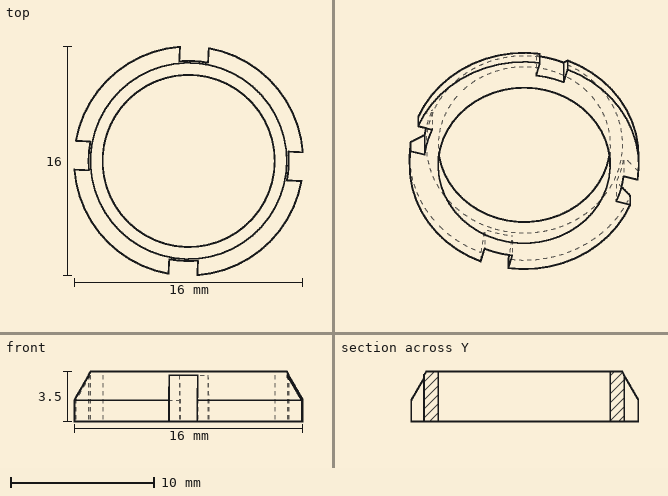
import cadquery as cq
import math

outer_diameter = 16.0
bore_diameter = 12.0
height = 3.5
rim_height = 1.5
cone_angle = 30

slot_count = 4
slot_width = 2.0
slot_floor_diameter = 14.0
slot_rotation = -2.9

outer_radius = outer_diameter / 2
bore_radius = bore_diameter / 2
top_radius = outer_radius - (height - rim_height) * math.tan(math.radians(cone_angle))


def make_ring():
    """Revolve the ring section: straight rim, conical shoulder and plain bore."""
    section = (
        cq.Workplane("XZ")
        .moveTo(bore_radius, 0)
        .lineTo(outer_radius, 0)
        .lineTo(outer_radius, rim_height)
        .lineTo(top_radius, height)
        .lineTo(bore_radius, height)
        .close()
    )
    return section.revolve(360, (0, 0, 0), (0, 1, 0))


def make_slot_cutters():
    """Radial bars through the full height, stopping at a round slot floor."""
    bars = cq.Workplane("XY")
    for index in range(slot_count):
        angle = slot_rotation + index * 360 / slot_count
        bar = cq.Workplane("XY").box(outer_diameter, slot_width, height, centered=(False, True, False))
        bars = bars.union(bar.rotate((0, 0, 0), (0, 0, 1), angle))
    slot_floor = cq.Workplane("XY").circle(slot_floor_diameter / 2).extrude(height)
    return bars.cut(slot_floor)


result = make_ring().cut(make_slot_cutters())